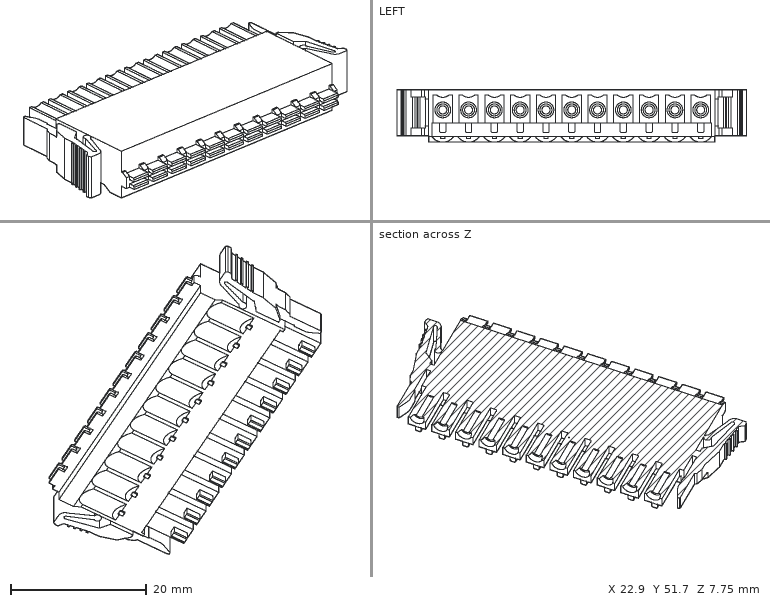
import cadquery as cq

pole_count = 11
pole_span = 38.1
pitch = pole_span / (pole_count - 1)
pole_width = 2.85
pole_centres = [(i - (pole_count - 1) / 2) * pitch for i in range(pole_count)]

housing_front = 6.5
housing_back = 20.85
housing_half_width = 21.15
housing_top = 7.75
housing_floor = 0.85
foot_start = 17.05
foot_end = 18.35

recess_wall = 0.45
recess_depth = 0.5

sleeve_top = 7.0
sleeve_bottom = 2.85
groove_width = 1.85
groove_depth = 0.35
hole_height = 4.75
mouth_diameter = 2.35
mouth_floor_diameter = 1.75
bore_diameter = 1.2
mouth_depth = 0.85
bore_depth = 5.15

tab_start = 0.45
tab_end = 2.7
tab_bottom = 1.4
tab_width = 0.95
tab_bevel = 0.15

swell_start = 11.5
swell_flat_start = 12.7
swell_width = 3.2
nub_start = 11.0
nub_end = 11.8
nub_bottom = 0.5
nub_width = 0.6

nose_end = 21.9
nose_step = 21.1
nose_bottom = 1.95
nose_top = 4.35
fork_top = 3.8
fork_end = 22.9
prong_thickness = 0.55
prong_bevel = 0.2

latch_reach = 25.85
latch_bottom = 0.95
lever_bottom = 2.05
lever_top = 6.65
lever_start = 1.2
lever_outer = 22.85
lever_pad_y = 21.6
lever_pad_end = 5.2
latch_inner = 21.75
grip_start = 7.9
shoulder_x = 9.5
shoulder_y = 23.75
grip_bend_x = 11.8
grip_bend_y = 24.35
grip_flat_x = 12.05
grip_flat_y = 24.45
ramp_start_x = 13.75
ramp_end_x = 17.75
ramp_end_y = 25.1
grip_end = 19.2
lever_crest_x = 8.85
post_start = 9.7
post_end = 11.05
post_bottom = 2.4
post_top = 6.35
spring_tip_x = 13.95
spring_tip_radius = 0.55
tooth_count = 4
tooth_start = 14.0
tooth_spacing = 1.0
tooth_width = 0.25
tooth_height = 0.25

shoulder_slope = (grip_bend_y - shoulder_y) / (grip_bend_x - shoulder_x)
ramp_slope = (ramp_end_y - grip_flat_y) / (ramp_end_x - ramp_start_x)
lever_crest_y = shoulder_y - shoulder_slope * (shoulder_x - lever_crest_x)


def box(x0, x1, y0, y1, z0, z1):
    """Box between two opposite corners."""
    return cq.Workplane("XY").box(x1 - x0, y1 - y0, z1 - z0, centered=False).translate((x0, y0, z0))


def side_profile(points, width, centre=0.0):
    """Outline in X and Z, extruded along Y about a centre."""
    outline = cq.Workplane("XZ").polyline(points).close()
    return outline.extrude(width / 2, both=True).translate((0, centre, 0))


def plan_profile(points, z0, z1):
    """Outline in X and Y, extruded from z0 to z1."""
    return cq.Workplane("XY").workplane(offset=z0).polyline(points).close().extrude(z1 - z0)


def arc_radius(chord, rise):
    """Radius of the arc with the given chord and rise."""
    return chord**2 / (8 * rise) + rise / 2


def housing():
    """Housing with its front recess and the ribbed nose along its back."""
    body = side_profile(
        [
            (housing_front, housing_floor),
            (foot_start, housing_floor),
            (foot_end, 0),
            (housing_back, 0),
            (housing_back, housing_top),
            (housing_front, housing_top),
        ],
        2 * housing_half_width,
    )
    recess_half_width = housing_half_width - recess_wall
    recess = box(
        housing_front, housing_front + recess_depth,
        -recess_half_width, recess_half_width,
        housing_floor, sleeve_bottom,
    )
    nose = side_profile(
        [
            (housing_back, nose_bottom),
            (nose_end, nose_bottom),
            (nose_end, fork_top),
            (nose_step, nose_top),
            (housing_back, nose_top),
        ],
        2 * housing_half_width,
    )
    for y in pole_centres:
        nose = nose.cut(
            box(housing_back, nose_end, y - pole_width / 2, y + pole_width / 2, fork_top, nose_top)
        )
    return body.cut(recess).union(nose)


def sleeve(y):
    """Sleeve with a hollow top and a coding tab below."""
    block = box(0, housing_front, y - pole_width / 2, y + pole_width / 2, sleeve_bottom, sleeve_top)
    radius = arc_radius(groove_width, groove_depth)
    axis_height = sleeve_top - groove_depth + radius
    groove = cq.Workplane("YZ").center(y, axis_height).circle(radius).extrude(housing_front)

    tab = box(tab_start, tab_end, y - tab_width / 2, y + tab_width / 2, tab_bottom, sleeve_bottom)
    tab = tab.faces("<Z").edges("|X").chamfer(tab_bevel)
    return block.cut(groove).union(tab)


def contact_hole(y):
    """Tapered mouth with a flat floor, and a narrower bore, along X."""
    profile = [
        (0, 0),
        (0, mouth_diameter / 2),
        (mouth_depth, mouth_floor_diameter / 2),
        (mouth_depth, bore_diameter / 2),
        (bore_depth, bore_diameter / 2),
        (bore_depth, 0),
    ]
    hole = cq.Workplane("XY").polyline(profile).close().revolve(360, (0, 0), (1, 0))
    return hole.translate((0, y, hole_height))


def fork(y):
    """Contact end on the back, split into two bevelled prongs."""
    lower_top = nose_bottom + prong_thickness
    upper_bottom = fork_top - prong_thickness
    points = [
        (housing_back, nose_bottom),
        (fork_end, nose_bottom),
        (fork_end, lower_top - prong_bevel),
        (fork_end - prong_bevel, lower_top),
        (nose_end, lower_top),
        (nose_end, upper_bottom),
        (fork_end, upper_bottom),
        (fork_end, fork_top - prong_bevel),
        (fork_end - prong_bevel, fork_top),
        (housing_back, fork_top),
    ]
    return side_profile(points, pole_width, y)


def swelling(y):
    """Rounded swelling with a sloped front, and the nub ahead of it."""
    radius = arc_radius(swell_width, housing_floor)
    barrel = (
        cq.Workplane("YZ").workplane(offset=swell_start)
        .center(y, radius).circle(radius).extrude(foot_end - swell_start)
    )
    envelope = side_profile(
        [
            (swell_start, housing_floor),
            (swell_flat_start, 0),
            (foot_end, 0),
            (foot_end, housing_floor),
        ],
        pitch,
        y,
    )
    nub = box(nub_start, nub_end, y - nub_width / 2, y + nub_width / 2, nub_bottom, housing_floor)
    return barrel.intersect(envelope).union(nub)


def latch():
    """Latch on the +Y side: lever, finger grip, spring arm and post."""
    lever = plan_profile(
        [
            (lever_start, 22.45),
            (2.7, latch_inner),
            (3.2, lever_pad_y),
            (lever_pad_end, lever_pad_y),
            (lever_pad_end, latch_inner),
            (shoulder_x, latch_inner),
            (shoulder_x, shoulder_y),
            (lever_crest_x, lever_crest_y),
            (7.75, 23.55),
            (6.75, 23.15),
            (6.55, lever_outer),
            (1.4, lever_outer),
            (lever_start, 22.75),
        ],
        lever_bottom,
        lever_top,
    )
    grip = (
        cq.Workplane("XY").workplane(offset=latch_bottom)
        .moveTo(grip_start, latch_inner)
        .lineTo(grip_start, 22.2)
        .lineTo(shoulder_x, shoulder_y)
        .lineTo(grip_bend_x, grip_bend_y)
        .lineTo(grip_flat_x, grip_flat_y)
        .lineTo(ramp_start_x, grip_flat_y)
        .lineTo(ramp_end_x, ramp_end_y)
        .lineTo(17.95, 25.3)
        .lineTo(18.3, latch_reach)
        .lineTo(18.8, latch_reach)
        .lineTo(grip_end, 25.65)
        .lineTo(grip_end, 24.1)
        .threePointArc((18.9, 23.5), (18.15, 23.1))
        .lineTo(14.2, 21.45)
        .lineTo(14.05, 22.2)
        .lineTo(18.15, 23.75)
        .threePointArc((18.3, 24.05), (17.95, 24.2))
        .lineTo(12.8, 23.15)
        .lineTo(11.75, latch_inner)
        .close()
        .extrude(housing_top - latch_bottom)
    )
    tip = (
        cq.Workplane("XY").workplane(offset=latch_bottom)
        .center(spring_tip_x, housing_half_width + spring_tip_radius)
        .circle(spring_tip_radius).extrude(housing_top - latch_bottom)
    )
    post = box(post_start, post_end, housing_half_width, latch_inner, post_bottom, post_top)
    body = lever.union(grip).union(tip).union(post)
    for i in range(tooth_count):
        x = tooth_start + i * tooth_spacing
        root = grip_flat_y + ramp_slope * (x - ramp_start_x)
        tooth = box(
            x - tooth_width / 2, x + tooth_width / 2,
            root - tooth_height, root + tooth_height,
            latch_bottom, housing_top,
        )
        body = body.union(tooth)
    return body


part = housing()
for y in pole_centres:
    part = part.union(sleeve(y)).cut(contact_hole(y)).union(fork(y)).union(swelling(y))

side_latch = latch()
result = part.union(side_latch).union(side_latch.mirror("XZ"))